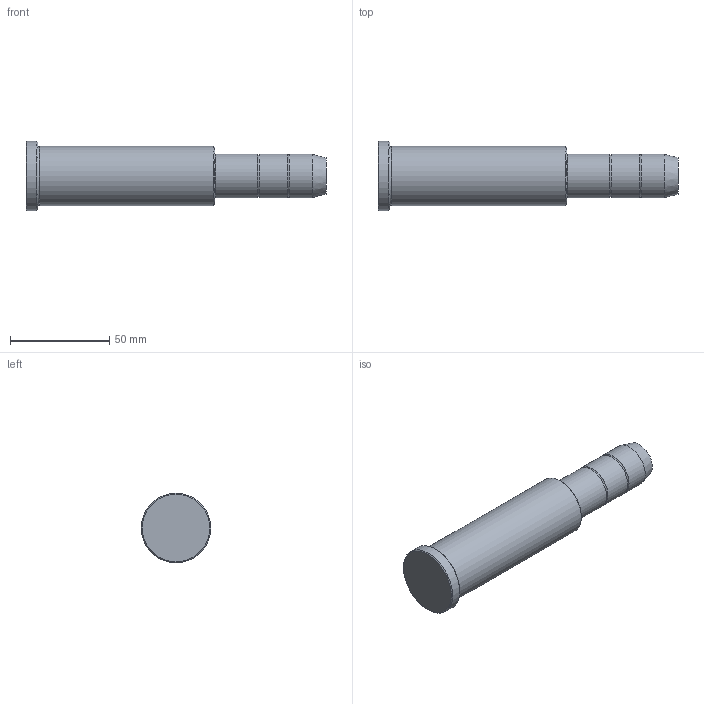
import cadquery as cq

total_length = 151.0

head_diameter = 35.0
head_length = 6.0
head_chamfer = 0.5

body_diameter = 30.0
body_end = 95.0
body_chamfer = 0.5

pilot_diameter = 22.0
tip_diameter = 18.25
tip_length = 7.0

groove_width = 1.0
pilot_relief_width = 0.5
first_groove_start = 116.5
groove_spacing = 15.0
pilot_groove_starts = (first_groove_start, first_groove_start + groove_spacing)


def revolve_about_axis(profile):
    """Revolve an XY profile a full turn about the X axis."""
    return profile.close().revolve(360, (0, 0, 0), (1, 0, 0))


def turned_blank():
    """Stepped pin without its grooves."""
    head_radius = head_diameter / 2
    body_radius = body_diameter / 2
    pilot_radius = pilot_diameter / 2
    outline = [
        (0, 0),
        (0, head_radius - head_chamfer),
        (head_chamfer, head_radius),
        (head_length - head_chamfer, head_radius),
        (head_length, head_radius - head_chamfer),
        (head_length, body_radius),
        (body_end - body_chamfer, body_radius),
        (body_end, body_radius - body_chamfer),
        (body_end, pilot_radius),
        (total_length - tip_length, pilot_radius),
        (total_length, tip_diameter / 2),
        (total_length, 0),
    ]
    return revolve_about_axis(cq.Workplane("XY").polyline(outline))


def ring_groove(start, diameter, width):
    """Half-round ring to cut into a cylinder, as deep as half its width."""
    surface_radius = diameter / 2
    depth = width / 2
    profile = (
        cq.Workplane("XY")
        .moveTo(start, surface_radius)
        .threePointArc((start + width / 2, surface_radius - depth), (start + width, surface_radius))
    )
    return revolve_about_axis(profile)


result = turned_blank()
result = result.cut(ring_groove(head_length, body_diameter, groove_width))
result = result.cut(ring_groove(body_end, pilot_diameter, pilot_relief_width))
for groove_start in pilot_groove_starts:
    result = result.cut(ring_groove(groove_start, pilot_diameter, groove_width))